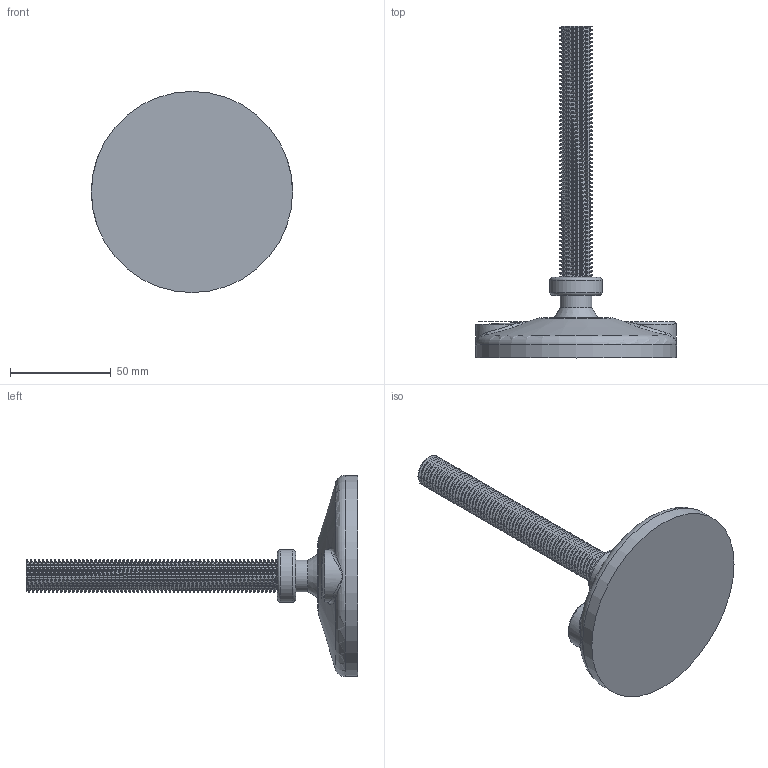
import cadquery as cq
import math

overall_length = 165.0
rim_height = 6.4
foot_height = 20.0
neck_bottom = 25.0
collar_bottom = 31.0
collar_top = 40.0

foot_radius = 50.0
rim_fillet = 5.0
cone_angle = math.radians(17.0)
crown_fillet = 10.0

neck_radius = 7.85
neck_base_radius = 10.8
collar_radius = 13.0
collar_fillet = 1.5

boss_radius = 12.85
boss_offset = 37.0
boss_top = 18.0
boss_top_fillet = 1.5
boss_root_fillet = 1.5

thread_radius = 8.0
thread_pitch = 2.0
thread_root_radius = 6.9
crest_width = thread_pitch / 4
root_land = thread_pitch / 4
thread_start_angle = 180.0
buried_turns = 2
free_end_spare_turns = 1


def revolve_about_stud(profile):
    """Turn a closed radius/height profile around the Y axis."""
    return profile.revolve(360, (0, 0, 0), (0, 1, 0))


def make_foot():
    """Conical plate with a rounded rim and a rounded edge at its flat crown."""
    arc_centre = foot_radius - rim_fillet
    cone_start = (
        arc_centre + rim_fillet * math.sin(cone_angle),
        rim_height + rim_fillet * math.cos(cone_angle),
    )
    half_angle = (math.pi / 2 - cone_angle) / 2
    rim_middle = (
        arc_centre + rim_fillet * math.cos(half_angle),
        rim_height + rim_fillet * math.sin(half_angle),
    )
    crown_radius = cone_start[0] - (foot_height - cone_start[1]) / math.tan(cone_angle)
    profile = (
        cq.Workplane("XY")
        .lineTo(foot_radius, 0)
        .lineTo(foot_radius, rim_height)
        .threePointArc(rim_middle, cone_start)
        .lineTo(crown_radius, foot_height)
        .lineTo(0, foot_height)
        .close()
    )
    return revolve_about_stud(profile).faces(">Y").edges().fillet(crown_fillet)


def make_boss(side):
    """Round boss rising from the conical face on one side of the stud."""
    return (
        cq.Workplane("XZ", origin=(side * boss_offset, rim_height, 0))
        .circle(boss_radius)
        .extrude(rim_height - boss_top)
        .faces(">Y")
        .edges()
        .fillet(boss_top_fillet)
    )


def make_foot_with_bosses():
    """Foot with a boss on each side, blended along their common edges."""
    foot = make_foot()
    for side in (-1, 1):
        foot = foot.union(make_boss(side))
    return foot.edges("%BSPLINE").fillet(boss_root_fillet)


def make_neck():
    """Cylindrical neck flaring into a cone where it meets the foot."""
    profile = (
        cq.Workplane("XY")
        .moveTo(0, rim_height)
        .lineTo(neck_base_radius, rim_height)
        .lineTo(neck_base_radius, foot_height)
        .lineTo(neck_radius, neck_bottom)
        .lineTo(neck_radius, collar_top)
        .lineTo(0, collar_top)
        .close()
    )
    return revolve_about_stud(profile)


def make_collar():
    """Disc collar with rounded edges."""
    return (
        cq.Workplane("XZ", origin=(0, collar_bottom, 0))
        .circle(collar_radius)
        .extrude(collar_bottom - collar_top)
        .edges("%CIRCLE")
        .fillet(collar_fillet)
    )


def thread_section(height):
    """Ridge and root outline over one pitch, as (radius, height) points."""
    root_edge = (thread_pitch - root_land) / 2
    crest_edge = crest_width / 2
    return [
        (thread_root_radius, height - root_edge),
        (thread_radius, height - crest_edge),
        (thread_radius, height + crest_edge),
        (thread_root_radius, height + root_edge),
        (thread_root_radius, height + thread_pitch - root_edge),
    ]


def helix_turn(radius, height):
    """One turn of a right-hand helix about Z."""
    wire = cq.Wire.makeHelix(thread_pitch, thread_pitch, radius)
    return wire.Edges()[0].translate(cq.Vector(0, 0, height))


def thread_end_faces(height):
    """Helical floor and radial step that close the screw surface at one end."""
    section = thread_section(height)
    low = cq.Vector(0, 0, section[0][1])
    high = cq.Vector(0, 0, section[-1][1])
    floor = cq.Face.makeRuledSurface(cq.Edge.makeLine(low, high), helix_turn(*section[0]))
    outline = [low] + [cq.Vector(radius, 0, z) for radius, z in section] + [high]
    step = cq.Face.makeFromWires(cq.Wire.makePolygon(outline, close=True))
    return [floor, step]


def make_threaded_stud():
    """Threaded stud cut square at the free end, its other end buried in the collar."""
    turns = math.ceil((overall_length - collar_top) / thread_pitch)
    turns += buried_turns + free_end_spare_turns
    screw_start = collar_top - buried_turns * thread_pitch
    section = thread_section(0)
    one_turn = [
        cq.Face.makeRuledSurface(helix_turn(*lower), helix_turn(*upper))
        for lower, upper in zip(section, section[1:])
    ]
    faces = thread_end_faces(0) + thread_end_faces(turns * thread_pitch)
    for turn in range(turns):
        offset = cq.Vector(0, 0, turn * thread_pitch)
        faces += [face.translate(offset) for face in one_turn]
    screw = (
        cq.Workplane(cq.Solid.makeSolid(cq.Shell.makeShell(faces)))
        .rotate((0, 0, 0), (0, 0, 1), thread_start_angle)
        .rotate((0, 0, 0), (1, 0, 0), -90)
        .translate((0, screw_start, 0))
    )
    envelope = (
        cq.Workplane("XZ", origin=(0, collar_bottom, 0))
        .circle(collar_radius)
        .extrude(collar_bottom - overall_length)
    )
    return screw.intersect(envelope)


result = (
    make_foot_with_bosses()
    .union(make_neck())
    .union(make_collar())
    .union(make_threaded_stud())
)